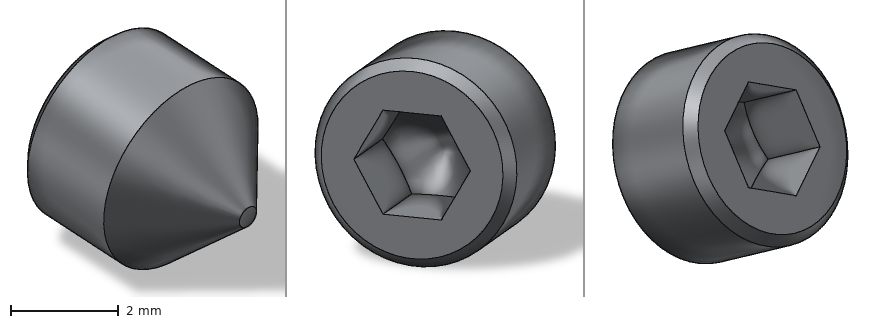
import cadquery as cq
import math

length = 4.0
diameter = 4.0
chamfer = 0.2
tip_diameter = 0.444
socket_sides = 6
socket_across_flats = 2.0
socket_depth = 1.5
drill_point_angle = 120.0

radius = diameter / 2
tip_radius = tip_diameter / 2
cone_length = radius - tip_radius
shoulder_x = length - cone_length
socket_corner_radius = socket_across_flats / 2 / math.cos(math.pi / socket_sides)
floor_cone_depth = socket_corner_radius / math.tan(math.radians(drill_point_angle / 2))

axis_start = (0, 0, 0)
axis_end = (1, 0, 0)


def make_body():
    """Chamfered cylinder with a truncated 45 degree cone point."""
    profile = (
        cq.Workplane("XZ")
        .moveTo(0, 0)
        .lineTo(0, radius - chamfer)
        .lineTo(chamfer, radius)
        .lineTo(shoulder_x, radius)
        .lineTo(length, tip_radius)
        .lineTo(length, 0)
        .close()
    )
    return profile.revolve(360, axis_start, axis_end)


def make_socket():
    """Hexagonal socket, corners on the Y axis, with a conical floor."""
    deepest_x = socket_depth + floor_cone_depth
    hexagon = (
        cq.Workplane("YZ")
        .polygon(socket_sides, 2 * socket_corner_radius)
        .extrude(deepest_x)
    )
    drilled_envelope = (
        cq.Workplane("XZ")
        .moveTo(0, 0)
        .lineTo(0, socket_corner_radius)
        .lineTo(socket_depth, socket_corner_radius)
        .lineTo(deepest_x, 0)
        .close()
        .revolve(360, axis_start, axis_end)
    )
    return hexagon.intersect(drilled_envelope)


result = make_body().cut(make_socket())